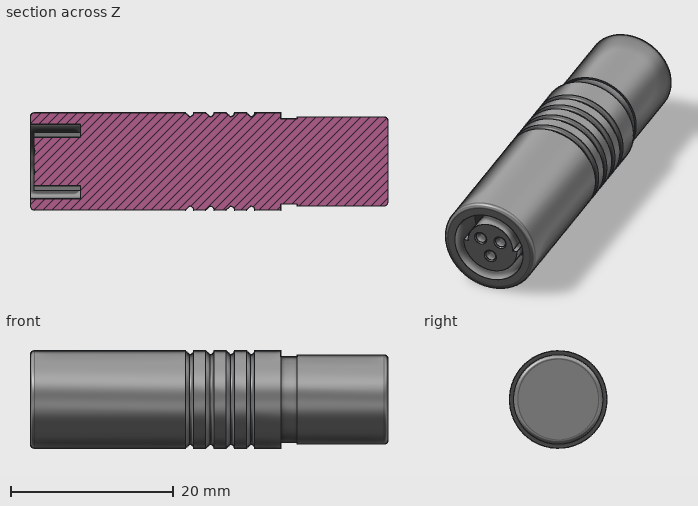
import cadquery as cq
import math

length = 44.0
body_radius = 6.005
front_fillet = 0.5

neck_start = 30.8
neck_radius = 5.3
tail_start = 32.82
tail_radius = 5.5
tail_fillet = 0.55

groove_count = 4
first_groove = 19.05
groove_pitch = 2.5
groove_depth = 0.5
groove_cone_length = 0.55

bore_radius = 4.58
bore_depth = 6.15
insert_setback = 0.45
insert_radius = 3.0
key_radius = 3.55

contact_count = 3
contact_circle_radius = 1.5
contact_radius = 0.65
contact_chamfer = 0.155
contact_depth = 3.5


def x_cylinder(radius, start, end, y=0.0, z=0.0):
    """Cylinder along X from start to end, centred on (y, z)."""
    return cq.Workplane("YZ", origin=(start, y, z)).circle(radius).extrude(end - start)


def make_shell():
    """Stepped outer body with both end rims rounded."""
    body = x_cylinder(body_radius, 0, neck_start).faces("<X").edges().fillet(front_fillet)
    neck = x_cylinder(neck_radius, neck_start, tail_start)
    tail = x_cylinder(tail_radius, tail_start, length).faces(">X").edges().fillet(tail_fillet)
    return body.union(neck).union(tail)


def make_groove(start):
    """Ring to cut from the body: cone down, then a quarter-round up to a steep wall."""
    bottom_x = start + groove_cone_length
    end_x = bottom_x + groove_depth
    bottom_radius = body_radius - groove_depth
    arc_offset = groove_depth * math.sqrt(0.5)
    clear_radius = body_radius + groove_depth
    return (
        cq.Workplane("XY")
        .moveTo(start, body_radius)
        .lineTo(bottom_x, bottom_radius)
        .threePointArc((bottom_x + arc_offset, body_radius - arc_offset), (end_x, body_radius))
        .lineTo(end_x, clear_radius)
        .lineTo(start, clear_radius)
        .close()
        .revolve(360, (0, 0, 0), (1, 0, 0))
    )


def make_insert():
    """Round insert with a half-ring key below its centre plane, standing on the bore floor."""
    core = x_cylinder(insert_radius, insert_setback, bore_depth)
    lower_half = cq.Workplane("XY").rect(2 * length, 2 * body_radius).extrude(-body_radius)
    key = x_cylinder(key_radius, insert_setback, bore_depth).intersect(lower_half)
    return core.union(key)


def make_contact_hole(angle):
    """Blind hole with a chamfered mouth, opening on the insert face."""
    y = contact_circle_radius * math.cos(angle)
    z = contact_circle_radius * math.sin(angle)
    hole = x_cylinder(contact_radius, insert_setback, insert_setback + contact_depth, y, z)
    mouth = (
        cq.Workplane("YZ", origin=(insert_setback, y, z))
        .circle(contact_radius + contact_chamfer)
        .extrude(contact_chamfer, taper=45)
    )
    return hole.union(mouth)


result = make_shell()
for index in range(groove_count):
    result = result.cut(make_groove(first_groove + index * groove_pitch))

result = result.cut(x_cylinder(bore_radius, 0, bore_depth)).union(make_insert())

for index in range(contact_count):
    angle = math.radians(-90 + index * 360 / contact_count)
    result = result.cut(make_contact_hole(angle))